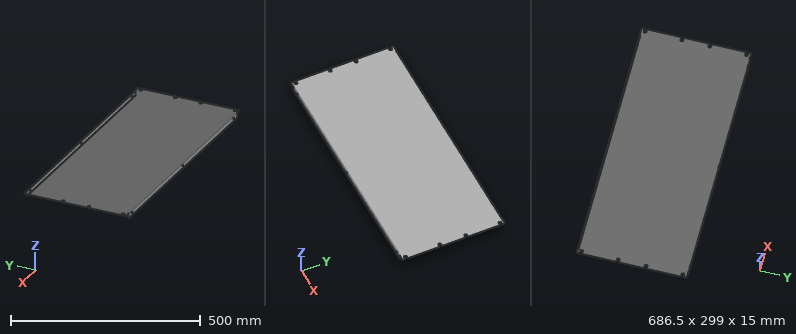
import cadquery as cq

length = 686.5
width = 299.0
height = 15.0
thickness = 1.0
bend_radius = 1.3
corner_radius = 4.0

flange_length = 653.5
flange_corner_radius = 4.0
hole_diameter = 4.2
hole_drop = 7.5
hole_spacing = 305.5

slot_width = 7.0
slot_depth = 11.0
inner_slot_y = 38.0
outer_slot_y = 138.0


def make_plate():
    """Flat plate with rounded corners."""
    plate = cq.Workplane("XY").box(length, width, thickness, centered=(True, True, False))
    return plate.translate((0, 0, -thickness)).edges("|Z").fillet(corner_radius)


def make_channel():
    """Shallow channel bent from sheet, with rounded lower flange corners."""
    channel = cq.Workplane("XY").box(flange_length, width, height, centered=(True, True, False))
    channel = channel.translate((0, 0, -height))
    channel = channel.edges("|X and >Z").fillet(bend_radius)
    cavity = (
        cq.Workplane("XY")
        .box(flange_length, width - 2 * thickness, height, centered=(True, True, False))
        .translate((0, 0, -height - thickness))
        .edges("|X and >Z")
        .fillet(bend_radius - thickness)
    )
    return channel.cut(cavity).edges("|Y and <Z").fillet(flange_corner_radius)


def make_bend_trim():
    """Material above the rounded bends, along the flange length only."""
    block = cq.Workplane("XY").box(flange_length, width, height, centered=(True, True, False))
    block = block.translate((0, 0, -height))
    return block.cut(block.edges("|X and >Z").fillet(bend_radius))


def make_flange_holes():
    """Pins that pierce both flanges at three places along X."""
    return (
        cq.Workplane("XZ", origin=(0, 0, -hole_drop))
        .pushPoints([(-hole_spacing, 0), (0, 0), (hole_spacing, 0)])
        .circle(hole_diameter / 2)
        .extrude(width, both=True)
    )


def make_edge_slots():
    """Round-ended slots centred on the short edges, so half of each cuts the plate."""
    slot_centers = [
        (side * length / 2, y)
        for side in (-1, 1)
        for y in (-outer_slot_y, -inner_slot_y, inner_slot_y, outer_slot_y)
    ]
    return (
        cq.Workplane("XY")
        .pushPoints(slot_centers)
        .slot2D(2 * slot_depth, slot_width)
        .extrude(-thickness)
    )


panel = make_plate().cut(make_bend_trim()).union(make_channel())
result = panel.cut(make_flange_holes()).cut(make_edge_slots())